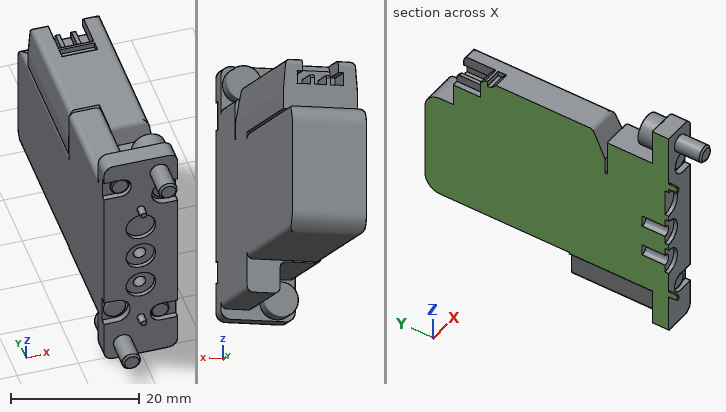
import cadquery as cq
import math


WIDTH = 12.0
HALF_WIDTH = WIDTH / 2
FLANGE_HEIGHT = 40.0
FLANGE_THICKNESS = 3.1
FLANGE_CORNER_RADIUS = 1.55

HOUSING_END_Y = 46.0
HOUSING_TOP_Z = 6.9
HOUSING_BOTTOM_Z = -13.15
HOUSING_END_RADIUS = 3.0
EDGE_RADIUS = 1.0

BASE_END_Y = 18.8
BASE_HIGH_TOP_Z = 15.5
BASE_LOW_TOP_Z = 13.4
BASE_LOW_TOP_END_Y = 11.63
BASE_HIGH_BOTTOM_Z = -13.37
BASE_LOW_BOTTOM_Z = -18.4
TOP_STEP_X = -0.67
BOTTOM_STEP_X = 0.67
TOP_STEP_ROOT_RADIUS = 0.5
BOTTOM_STEP_ROOT_RADIUS = 1.0

CONNECTOR_TOP_Z = 14.9
CONNECTOR_END_Y = 40.6
CONNECTOR_SIDE_X = HALF_WIDTH
CONNECTOR_TAPER_START_Z = 9.8
CONNECTOR_TOP_HALF_WIDTH = 5.58
CONNECTOR_EDGE_RADIUS = 1.0
CONNECTOR_LEFT_START_Y = 19.05
LEFT_BEVEL = 0.95
CONNECTOR_RIGHT_START_Y = 11.98
RIGHT_SLOPE_LENGTH = 2.3

LATCH_HALF_WIDTH = 2.88
LATCH_FLOOR_Z = 11.0
BAR_FRONT_Y = 34.12
BAR_THICKNESS = 0.45
LATCH_RAMP = 0.92
LATCH_POCKET_FRONT_Y = 32.54
RIB_CENTER_X = 1.3
RIB_WIDTH = 0.65
RIB_TOP_Z = 12.5
RIB_TIP_CHAMFER = 0.45
UNDERCUT_TOP_Z = 13.0
UNDERCUT_DEPTH = 0.86

SCREW_X = 3.0
SCREW_Z = 17.0
SCREW_DIAMETER = 3.0
SCREW_TIP_Y = -5.0
SCREW_TIP_CHAMFER = 0.33
SCREW_HEAD_DIAMETER = 5.5
SCREW_HEAD_END_Y = 6.03
SCREW_HEAD_EDGE_RADIUS = 0.1

PIN_HEIGHTS = (10.0, -12.5)
PIN_DIAMETER = 1.2
PIN_SHOULDER_Y = -0.95
PIN_TIP_DIAMETER = 0.9
PIN_TIP_Y = -1.6

PORT_CENTER_Z = 0.3
PORT_PITCH = 6.0
PORT_DIAMETER = 4.8
PORT_DEPTH = 0.7
BORE_DIAMETER = 2.0
BORE_DEPTH = 5.0

SMALL_POST_X = 3.27
SMALL_SLOT_WIDTH = 3.4
SMALL_SLOT_DEPTH = 0.95
SMALL_POST_DIAMETER = 3.0
SMALL_POST_EDGE = 0.2
SMALL_POST_TOP_Y = 0.4
LARGE_POST_X = 4.0
LARGE_SLOT_WIDTH = 4.45
LARGE_SLOT_DEPTH = 1.07
LARGE_POST_DIAMETER = 3.6
LARGE_POST_EDGE = 0.45
LEFT_SMALL_Z = 15.15
RIGHT_SMALL_Z = -12.25
LEFT_LARGE_Z = -10.3
RIGHT_LARGE_Z = 12.5

SELECT_REACH = 0.01
SELECT_SPAN = 100.0


def box(x_range, y_range, z_range):
    """Box between the given limits."""
    (x0, x1), (y0, y1), (z0, z1) = x_range, y_range, z_range
    return cq.Workplane("XY").box(x1 - x0, y1 - y0, z1 - z0, centered=False).translate((x0, y0, z0))


def rod(diameter, x, z, y0, y1):
    """Cylinder along Y from y0 to y1."""
    return cq.Workplane("XZ", origin=(x, y0, z)).circle(diameter / 2).extrude(y0 - y1)


def tapered_rod(base_diameter, tip_diameter, x, z, base_y, tip_y):
    """Cone along -Y, from its base at base_y to its tip at tip_y."""
    cone = cq.Solid.makeCone(
        base_diameter / 2,
        tip_diameter / 2,
        base_y - tip_y,
        pnt=cq.Vector(x, base_y, z),
        dir=cq.Vector(0, -1, 0),
    )
    return cq.Workplane(cone)


def side_prism(points, x0, x1):
    """Outline of (y, z) points extruded along X from x0 to x1."""
    return cq.Workplane("YZ", origin=(x0, 0, 0)).polyline(points).close().extrude(x1 - x0)


def cross_prism(points, y0, y1):
    """Outline of (x, z) points extruded along Y from y0 to y1."""
    return cq.Workplane("XZ", origin=(0, y0, 0)).polyline(points).close().extrude(y0 - y1)


def edge_at(solid, axis, a, b):
    """Edges along X or Y that pass next to (a, b): (y, z) for X, (x, z) for Y."""
    low = (a - SELECT_REACH, b - SELECT_REACH)
    high = (a + SELECT_REACH, b + SELECT_REACH)
    if axis == "X":
        low_corner = (-SELECT_SPAN, low[0], low[1])
        high_corner = (SELECT_SPAN, high[0], high[1])
    else:
        low_corner = (low[0], -SELECT_SPAN, low[1])
        high_corner = (high[0], SELECT_SPAN, high[1])
    return solid.edges("|" + axis).edges(cq.selectors.BoxSelector(low_corner, high_corner))


def make_flange():
    half_height = FLANGE_HEIGHT / 2
    plate = box((-HALF_WIDTH, HALF_WIDTH), (0, FLANGE_THICKNESS), (-half_height, half_height))
    return plate.edges("|Y").fillet(FLANGE_CORNER_RADIUS)


def make_housing():
    size = ((-HALF_WIDTH, HALF_WIDTH), (0, HOUSING_END_Y), (HOUSING_BOTTOM_Z, HOUSING_TOP_Z))
    rounded_section = box(*size).edges("|Y").fillet(EDGE_RADIUS)
    rounded_end = box(*size).edges("|X and >Y").fillet(HOUSING_END_RADIUS)
    body = rounded_section.intersect(rounded_end)
    return body.intersect(box((-HALF_WIDTH, HALF_WIDTH), (FLANGE_THICKNESS, HOUSING_END_Y), size[2]))


def make_base():
    outline = [
        (-HALF_WIDTH, BASE_HIGH_BOTTOM_Z),
        (BOTTOM_STEP_X, BASE_HIGH_BOTTOM_Z),
        (BOTTOM_STEP_X, BASE_LOW_BOTTOM_Z),
        (HALF_WIDTH, BASE_LOW_BOTTOM_Z),
        (HALF_WIDTH, BASE_LOW_TOP_Z),
        (TOP_STEP_X, BASE_LOW_TOP_Z),
        (TOP_STEP_X, BASE_HIGH_TOP_Z),
        (-HALF_WIDTH, BASE_HIGH_TOP_Z),
    ]
    step_roots = {
        (BOTTOM_STEP_X, BASE_HIGH_BOTTOM_Z): BOTTOM_STEP_ROOT_RADIUS,
        (TOP_STEP_X, BASE_LOW_TOP_Z): TOP_STEP_ROOT_RADIUS,
    }
    base = cross_prism(outline, FLANGE_THICKNESS, BASE_END_Y)
    for corner in outline:
        base = edge_at(base, "Y", *corner).fillet(step_roots.get(corner, EDGE_RADIUS))
    clearance_y = (BASE_LOW_TOP_END_Y, BASE_END_Y)
    return base.cut(box((TOP_STEP_X, HALF_WIDTH), clearance_y, (HOUSING_TOP_Z, BASE_HIGH_TOP_Z)))


def make_connector():
    section = [
        (-CONNECTOR_SIDE_X, HOUSING_TOP_Z),
        (CONNECTOR_SIDE_X, HOUSING_TOP_Z),
        (CONNECTOR_SIDE_X, CONNECTOR_TAPER_START_Z),
        (CONNECTOR_TOP_HALF_WIDTH, CONNECTOR_TOP_Z),
        (-CONNECTOR_TOP_HALF_WIDTH, CONNECTOR_TOP_Z),
        (-CONNECTOR_SIDE_X, CONNECTOR_TAPER_START_Z),
    ]
    body = cross_prism(section, CONNECTOR_RIGHT_START_Y, CONNECTOR_END_Y)
    body = body.edges("|Y and >Z").fillet(CONNECTOR_EDGE_RADIUS)

    left_side = [
        (CONNECTOR_LEFT_START_Y, HOUSING_TOP_Z),
        (CONNECTOR_END_Y, HOUSING_TOP_Z),
        (CONNECTOR_END_Y, CONNECTOR_TOP_Z),
        (CONNECTOR_LEFT_START_Y + LEFT_BEVEL, CONNECTOR_TOP_Z),
        (CONNECTOR_LEFT_START_Y, CONNECTOR_TOP_Z - LEFT_BEVEL),
    ]
    right_side = [
        (CONNECTOR_RIGHT_START_Y, HOUSING_TOP_Z),
        (CONNECTOR_END_Y, HOUSING_TOP_Z),
        (CONNECTOR_END_Y, CONNECTOR_TOP_Z),
        (CONNECTOR_RIGHT_START_Y + RIGHT_SLOPE_LENGTH, CONNECTOR_TOP_Z),
        (CONNECTOR_RIGHT_START_Y, CONNECTOR_TAPER_START_Z),
    ]
    left_half = side_prism(left_side, -HALF_WIDTH, TOP_STEP_X)
    left_half = edge_at(left_half, "X", CONNECTOR_END_Y, CONNECTOR_TOP_Z).fillet(CONNECTOR_EDGE_RADIUS)
    right_half = side_prism(right_side, TOP_STEP_X, HALF_WIDTH)
    right_half = right_half.edges("|X and >Z").fillet(CONNECTOR_EDGE_RADIUS)
    return cut_latch(body.intersect(left_half.union(right_half)))


def cut_latch(body):
    bar_back_y = BAR_FRONT_Y + BAR_THICKNESS
    ramp_bottom_z = CONNECTOR_TOP_Z - LATCH_RAMP
    slot = [
        (bar_back_y, CONNECTOR_TOP_Z),
        (bar_back_y + LATCH_RAMP, ramp_bottom_z),
        (bar_back_y + LATCH_RAMP, LATCH_FLOOR_Z),
        (CONNECTOR_END_Y, LATCH_FLOOR_Z),
        (CONNECTOR_END_Y, CONNECTOR_TOP_Z),
    ]
    pocket = [
        (LATCH_POCKET_FRONT_Y, CONNECTOR_TOP_Z),
        (LATCH_POCKET_FRONT_Y + LATCH_RAMP, ramp_bottom_z),
        (BAR_FRONT_Y, ramp_bottom_z),
        (BAR_FRONT_Y, CONNECTOR_TOP_Z),
    ]
    for opening in (slot, pocket):
        body = body.cut(side_prism(opening, -LATCH_HALF_WIDTH, LATCH_HALF_WIDTH))

    slot_y = (bar_back_y + LATCH_RAMP, CONNECTOR_END_Y)
    wide_half = LATCH_HALF_WIDTH + UNDERCUT_DEPTH
    body = body.cut(box((-wide_half, wide_half), slot_y, (LATCH_FLOOR_Z, UNDERCUT_TOP_Z)))

    for x in (-RIB_CENTER_X, RIB_CENTER_X):
        rib = box((x - RIB_WIDTH / 2, x + RIB_WIDTH / 2), slot_y, (LATCH_FLOOR_Z, RIB_TOP_Z))
        body = body.union(rib.edges(">Y and >Z").chamfer(RIB_TIP_CHAMFER))
    return body


def make_screw(x, z):
    shank = rod(SCREW_DIAMETER, x, z, SCREW_TIP_Y, FLANGE_THICKNESS)
    shank = shank.faces("<Y").chamfer(SCREW_TIP_CHAMFER)
    head = rod(SCREW_HEAD_DIAMETER, x, z, FLANGE_THICKNESS, SCREW_HEAD_END_Y)
    head = head.faces(">Y").edges().fillet(SCREW_HEAD_EDGE_RADIUS)
    return shank.union(head)


def make_pin(z):
    shoulder = rod(PIN_DIAMETER, 0, z, PIN_SHOULDER_Y, FLANGE_THICKNESS)
    tip = tapered_rod(PIN_DIAMETER, PIN_TIP_DIAMETER, 0, z, PIN_SHOULDER_Y, PIN_TIP_Y)
    return shoulder.union(tip)


def cut_ports(body):
    top_port_z = PORT_CENTER_Z + PORT_PITCH
    lower_port_heights = (PORT_CENTER_Z, PORT_CENTER_Z - PORT_PITCH)
    for z in (top_port_z, *lower_port_heights):
        body = body.cut(rod(PORT_DIAMETER, 0, z, 0, PORT_DEPTH))
    for z in lower_port_heights:
        body = body.cut(rod(BORE_DIAMETER, 0, z, PORT_DEPTH, BORE_DEPTH))
    return body


def cut_recess(body, x, z, width, depth):
    """U-shaped recess in the mounting face, open to the nearer side of the flange."""
    side_x = math.copysign(HALF_WIDTH, x)
    channel = box(sorted((x, side_x)), (0, depth), (z - width / 2, z + width / 2))
    return body.cut(rod(width, x, z, 0, depth)).cut(channel)


def add_small_post(body, x, z):
    body = cut_recess(body, x, z, SMALL_SLOT_WIDTH, SMALL_SLOT_DEPTH)
    post = rod(SMALL_POST_DIAMETER, x, z, SMALL_POST_TOP_Y, FLANGE_THICKNESS)
    return body.union(post.faces("<Y").chamfer(SMALL_POST_EDGE))


def add_large_post(body, x, z):
    body = cut_recess(body, x, z, LARGE_SLOT_WIDTH, LARGE_SLOT_DEPTH)
    post = rod(LARGE_POST_DIAMETER, x, z, LARGE_SLOT_DEPTH - LARGE_POST_EDGE, FLANGE_THICKNESS)
    return body.union(post.faces("<Y").edges().fillet(LARGE_POST_EDGE))


part = make_flange().union(make_base()).union(make_housing()).union(make_connector())
for sign in (1, -1):
    part = part.union(make_screw(sign * SCREW_X, sign * SCREW_Z))
part = cut_ports(part)
part = add_small_post(part, -SMALL_POST_X, LEFT_SMALL_Z)
part = add_small_post(part, SMALL_POST_X, RIGHT_SMALL_Z)
part = add_large_post(part, -LARGE_POST_X, LEFT_LARGE_Z)
part = add_large_post(part, LARGE_POST_X, RIGHT_LARGE_Z)
for pin_z in PIN_HEIGHTS:
    part = part.union(make_pin(pin_z))

result = part